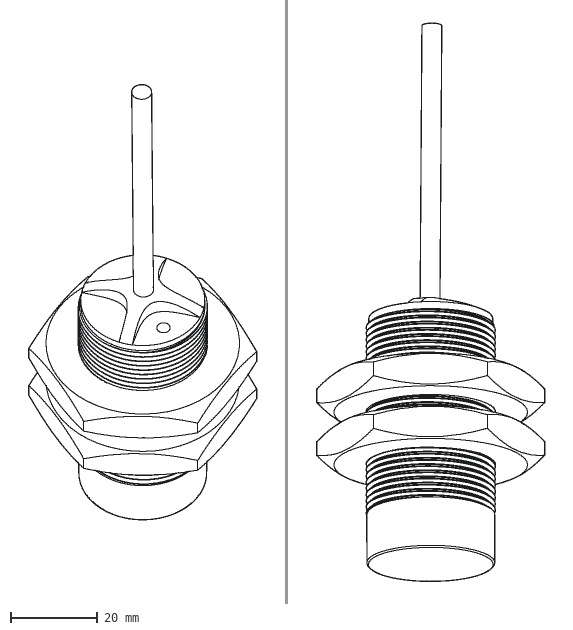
import cadquery as cq
import math

TOTAL_HEIGHT = 130.1
NOSE_HEIGHT = 12.1
NOSE_DIAMETER = 29.8
THREAD_TOP = 57.8
COLLAR_TOP = 59.5
DOME_TOP = 63.5

THREAD_DIAMETER = 30.0
COLLAR_DIAMETER = 28.9
ROOT_DIAMETER = 28.4
THREAD_TURNS = 30.5
CREST_WIDTH = 0.18
GROOVE_FLOOR = 0.2
RIDGE_EMBED = 0.07
THREAD_START_ANGLE = 130.0
NOSE_CHAMFER = 0.4

RIB_WIDTH = 3.6
POCKET_INNER_RADIUS = 4.8

LAMP_DIAMETER = 3.1
LAMP_HEIGHT = 0.8
LAMP_OFFSET = 10.0

CABLE_DIAMETER = 4.7
CABLE_FOOT_X = 0.4
CABLE_LEAN = 0.9

NUT_ACROSS_FLATS = 46.0
NUT_HEIGHT = 8.0
NUT_FACE_DIAMETER = 45.0
NUT_CHAMFER_ANGLE = 30.0
NUT_BOTTOMS = [24.1, 36.8]

THREAD_RADIUS = THREAD_DIAMETER / 2
ROOT_RADIUS = ROOT_DIAMETER / 2
THREAD_LENGTH = THREAD_TOP - NOSE_HEIGHT
THREAD_PITCH = THREAD_LENGTH / THREAD_TURNS


def sphere_cap(base_z, base_radius, height):
    """A spherical cap with a flat base at base_z, centred on the Z axis."""
    return (
        cq.Workplane("XZ")
        .moveTo(0, base_z)
        .lineTo(base_radius, base_z)
        .threePointArc(cap_middle(base_z, base_radius, height), (0, base_z + height))
        .close()
        .revolve(360, (0, 0), (0, 1))
    )


def cap_middle(base_z, base_radius, height):
    """The point half-way along the arc of a spherical cap, from its rim to its top."""
    sphere_radius = (base_radius**2 + height**2) / (2 * height)
    half_angle = math.asin(base_radius / sphere_radius) / 2
    centre_z = base_z + height - sphere_radius
    return (sphere_radius * math.sin(half_angle), centre_z + sphere_radius * math.cos(half_angle))


def make_threaded_barrel():
    """A root cylinder with a left-hand helical ridge, cut off square at nose and collar."""
    base_half = (THREAD_PITCH - GROOVE_FLOOR) / 2
    crest_half = CREST_WIDTH / 2
    flank_slope = (base_half - crest_half) / (THREAD_RADIUS - ROOT_RADIUS)
    buried_radius = ROOT_RADIUS - RIDGE_EMBED
    buried_half = base_half + flank_slope * RIDGE_EMBED
    helix = cq.Wire.makeHelix(THREAD_PITCH, THREAD_LENGTH + 2 * THREAD_PITCH, ROOT_RADIUS, lefthand=True)
    ridge = (
        cq.Workplane("XZ")
        .polyline(
            [
                (buried_radius, -buried_half),
                (THREAD_RADIUS, -crest_half),
                (THREAD_RADIUS, crest_half),
                (buried_radius, buried_half),
            ]
        )
        .close()
        .sweep(cq.Workplane(helix), isFrenet=True, clean=False)
        .translate((0, 0, -THREAD_PITCH))
        .rotate((0, 0, 0), (0, 0, 1), THREAD_START_ANGLE)
    )
    core = (
        cq.Workplane("XY")
        .workplane(offset=-2 * THREAD_PITCH)
        .circle(ROOT_RADIUS)
        .extrude(THREAD_LENGTH + 4 * THREAD_PITCH)
    )
    envelope = cq.Workplane("XY").circle(THREAD_DIAMETER).extrude(THREAD_LENGTH)
    barrel = core.union(ridge, clean=False).intersect(envelope, clean=False)
    return barrel.translate((0, 0, NOSE_HEIGHT))


def make_pockets():
    """The four pockets with curved walls that leave diagonal ribs on the dome."""
    reach = COLLAR_DIAMETER / 2
    mouth = reach + RIB_WIDTH / math.sqrt(2)
    pocket = (
        cq.Workplane("XY")
        .workplane(offset=COLLAR_TOP)
        .moveTo(mouth, -reach)
        .spline(
            [(POCKET_INNER_RADIUS, 0), (mouth, reach)],
            tangents=[(-1, 1), (1, 1)],
            includeCurrent=True,
        )
        .close()
        .extrude(DOME_TOP - COLLAR_TOP)
    )
    return [pocket.rotate((0, 0, 0), (0, 0, 1), 90 * quarter) for quarter in range(4)]


def make_cable():
    """A cable that leans slightly towards -X as it rises from the collar."""
    return (
        cq.Workplane("XY")
        .workplane(offset=COLLAR_TOP)
        .center(CABLE_FOOT_X, 0)
        .circle(CABLE_DIAMETER / 2)
        .workplane(offset=TOTAL_HEIGHT - COLLAR_TOP)
        .center(-CABLE_LEAN, 0)
        .circle(CABLE_DIAMETER / 2)
        .loft(ruled=True)
    )


def make_housing():
    """Nose, threaded barrel, ribbed dome, lamp and cable as one solid."""
    nose = (
        cq.Workplane("XY")
        .circle(NOSE_DIAMETER / 2)
        .extrude(NOSE_HEIGHT)
        .faces("<Z")
        .chamfer(NOSE_CHAMFER)
    )
    collar = (
        cq.Workplane("XY")
        .workplane(offset=THREAD_TOP)
        .circle(COLLAR_DIAMETER / 2)
        .extrude(COLLAR_TOP - THREAD_TOP)
    )
    dome = sphere_cap(COLLAR_TOP, COLLAR_DIAMETER / 2, DOME_TOP - COLLAR_TOP)
    for pocket in make_pockets():
        dome = dome.cut(pocket)
    lamp = sphere_cap(COLLAR_TOP, LAMP_DIAMETER / 2, LAMP_HEIGHT).translate((LAMP_OFFSET, 0, 0))
    housing = nose
    for feature in [make_threaded_barrel(), collar, dome, lamp, make_cable()]:
        housing = housing.union(feature, clean=False)
    return housing


def make_nut(bottom):
    """A hexagon nut chamfered on both faces, with a plain bore around the thread crests."""
    corner_radius = NUT_ACROSS_FLATS / math.sqrt(3)
    face_radius = NUT_FACE_DIAMETER / 2
    chamfer_drop = (corner_radius - face_radius) * math.tan(math.radians(NUT_CHAMFER_ANGLE))
    hexagon = cq.Workplane("XY").polygon(6, 2 * corner_radius).extrude(NUT_HEIGHT)
    turned_blank = (
        cq.Workplane("XZ")
        .polyline(
            [
                (THREAD_RADIUS, 0),
                (face_radius, 0),
                (corner_radius, chamfer_drop),
                (corner_radius, NUT_HEIGHT - chamfer_drop),
                (face_radius, NUT_HEIGHT),
                (THREAD_RADIUS, NUT_HEIGHT),
            ]
        )
        .close()
        .revolve(360, (0, 0), (0, 1))
    )
    return hexagon.intersect(turned_blank).translate((0, 0, bottom))


housing = make_housing()
nuts = [make_nut(bottom) for bottom in NUT_BOTTOMS]

result = cq.Compound.makeCompound([housing.val(), *[nut.val() for nut in nuts]])